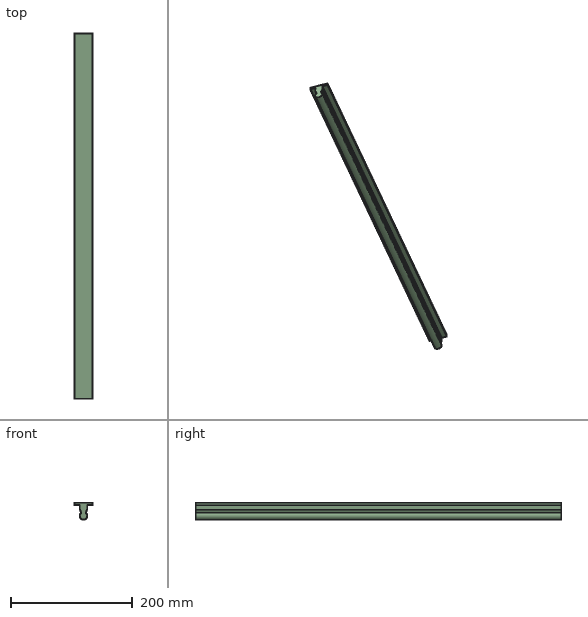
import cadquery as cq
import math

length = 600.0
flange_width = 30.0
height = 28.0

flange_thickness = 4.0
web_width = 12.5
web_bottom_depth = 11.5
neck_depth = 17.0
bulb_diameter = 12.5

flange_half_width = flange_width / 2
web_half_width = web_width / 2
bulb_radius = bulb_diameter / 2
bulb_center_depth = height - bulb_radius
neck_half_width = math.sqrt(bulb_radius**2 - (bulb_center_depth - neck_depth) ** 2)

section = (
    cq.Workplane("XZ")
    .moveTo(-flange_half_width, 0)
    .lineTo(flange_half_width, 0)
    .lineTo(flange_half_width, -flange_thickness)
    .lineTo(web_half_width, -flange_thickness)
    .lineTo(web_half_width, -web_bottom_depth)
    .lineTo(neck_half_width, -neck_depth)
    .threePointArc((0, -height), (-neck_half_width, -neck_depth))
    .lineTo(-web_half_width, -web_bottom_depth)
    .lineTo(-web_half_width, -flange_thickness)
    .lineTo(-flange_half_width, -flange_thickness)
    .close()
)

result = section.extrude(length / 2, both=True)